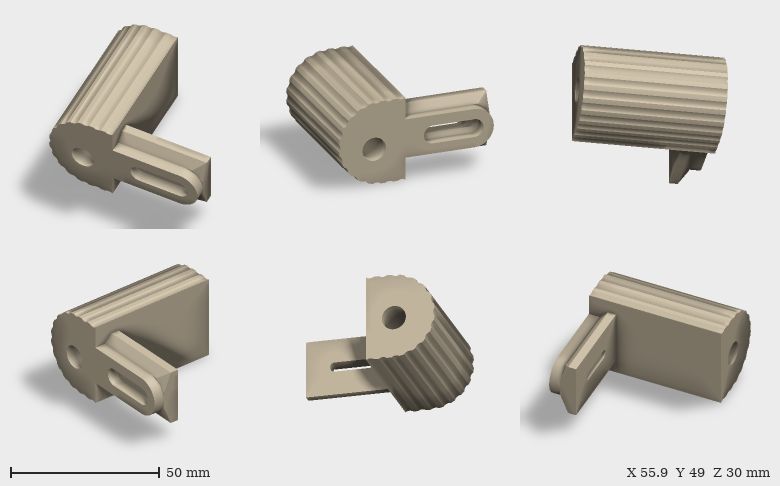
import cadquery as cq
import math

GRIP_LENGTH = 49.0
GRIP_RADIUS = 15.0
GRIP_FLAT_X = 9.0

FLUTE_CHORD = 2.75
FLUTE_DEPTH = 0.45
FLUTE_PITCH = 4.45
FLUTES_PER_SIDE = 7
FLUTE_RADIUS = ((FLUTE_CHORD / 2) ** 2 + FLUTE_DEPTH**2) / (2 * FLUTE_DEPTH)

BORE_DIAMETER = 8.4
BORE_FRONT = (-2.25, -2.2)
BORE_REAR = (-0.7, -0.65)
BORE_OVERRUN = 1.0

ARM_END_X = 41.0
BAR_WIDTH = 14.0
PLATE_WIDTH = 20.0
BAR_THICKNESS = 4.0
FLARE_THICKNESS = 3.0
ARM_THICKNESS = 10.0
BAR_RADIUS = BAR_WIDTH / 2
BAR_END_CENTER_X = ARM_END_X - BAR_RADIUS
FLARE_END_Y = BAR_THICKNESS + FLARE_THICKNESS

SLOT_WIDTH = 6.5
SLOT_TRAVEL = 15.0
SEAT_WIDTH = 3.3
THROUGH_TRAVEL = 12.0
SLOT_START_X = BAR_END_CENTER_X - SLOT_TRAVEL
SEAT_ANGLE = 45.0
SEAT_DEPTH = (SLOT_WIDTH - SEAT_WIDTH) / 2 / math.tan(math.radians(SEAT_ANGLE))


def plane_at(y):
    """Work plane at depth y: local x is X, local y is Z, extrusions run toward +Y."""
    return cq.Workplane(cq.Plane(origin=(0, y, 0), xDir=(1, 0, 0), normal=(0, -1, 0)))


def outline_point(distance):
    """Point (X, Z) on the upper grip outline, measured from its leftmost point."""
    angle = distance / GRIP_RADIUS
    if angle <= math.pi / 2:
        return -GRIP_RADIUS * math.cos(angle), GRIP_RADIUS * math.sin(angle)
    return distance - GRIP_RADIUS * math.pi / 2, GRIP_RADIUS


def outward_normal(point):
    """Unit vector pointing out of the grip at a point of its upper outline."""
    x, z = min(point[0], 0), point[1]
    return x / GRIP_RADIUS, z / GRIP_RADIUS


def make_grip():
    outline = (
        plane_at(0)
        .moveTo(GRIP_FLAT_X, -GRIP_RADIUS)
        .lineTo(0, -GRIP_RADIUS)
        .threePointArc((-GRIP_RADIUS, 0), (0, GRIP_RADIUS))
        .lineTo(GRIP_FLAT_X, GRIP_RADIUS)
        .close()
    )
    return outline.extrude(-GRIP_LENGTH)


def flute_center(distance):
    """Centre (X, Z) of the round cutter whose flute is centred at this outline distance."""
    point = outline_point(distance)
    on_round = point[0] < 0
    sagitta = GRIP_RADIUS - math.sqrt(GRIP_RADIUS**2 - (FLUTE_CHORD / 2) ** 2) if on_round else 0
    offset = FLUTE_RADIUS - FLUTE_DEPTH - sagitta
    normal = outward_normal(point)
    return point[0] + offset * normal[0], point[1] + offset * normal[1]


def cut_flutes(body):
    for index in range(FLUTES_PER_SIDE + 1):
        x, z = flute_center(index * FLUTE_PITCH)
        for side in (-1, 1):
            cutter = plane_at(0).center(x, side * z).circle(FLUTE_RADIUS).extrude(-GRIP_LENGTH)
            body = body.cut(cutter)
    return body


def make_bore():
    start = cq.Vector(BORE_FRONT[0], 0, BORE_FRONT[1])
    end = cq.Vector(BORE_REAR[0], GRIP_LENGTH, BORE_REAR[1])
    axis = (end - start).normalized()
    length = (end - start).Length + 2 * BORE_OVERRUN
    bore = cq.Solid.makeCylinder(BORE_DIAMETER / 2, length, start - axis * BORE_OVERRUN, axis)
    return cq.Workplane(bore)


def tetrahedron(a, b, c, d):
    """Solid with four triangular faces between the given corner points."""
    faces = []
    for corners in ((a, b, c), (a, b, d), (a, c, d), (b, c, d)):
        wire = cq.Wire.makePolygon([cq.Vector(*corner) for corner in corners], close=True)
        faces.append(cq.Face.makeFromWires(wire))
    return cq.Solid.makeSolid(cq.Shell.makeShell(faces))


def make_arm():
    straight = plane_at(0).center(BAR_END_CENTER_X / 2, 0).rect(BAR_END_CENTER_X, BAR_WIDTH)
    round_end = plane_at(0).center(BAR_END_CENTER_X, 0).circle(BAR_RADIUS)
    bar = straight.extrude(-BAR_THICKNESS).union(round_end.extrude(-BAR_THICKNESS))
    narrow = BAR_WIDTH / 2
    wide = PLATE_WIDTH / 2
    plate_profile = [
        (BAR_THICKNESS, -narrow),
        (FLARE_END_Y, -wide),
        (ARM_THICKNESS, -wide),
        (ARM_THICKNESS, wide),
        (FLARE_END_Y, wide),
        (BAR_THICKNESS, narrow),
    ]
    plate = cq.Workplane("YZ").polyline(plate_profile).close().extrude(ARM_END_X)
    corner_cut = BAR_RADIUS * (2 - math.sqrt(2))
    for side in (-1, 1):
        corner = tetrahedron(
            (ARM_END_X - corner_cut, BAR_THICKNESS, side * narrow),
            (ARM_END_X, BAR_THICKNESS, side * (narrow - corner_cut)),
            (ARM_END_X, BAR_THICKNESS, side * narrow),
            (ARM_END_X, FLARE_END_Y, side * wide),
        )
        plate = plate.cut(cq.Workplane(corner))
    return bar.union(plate)


def slot_profile(y, travel, width):
    return plane_at(y).center(SLOT_START_X + travel / 2, 0).slot2D(travel + width, width)


def make_slot():
    mouth = slot_profile(0, SLOT_TRAVEL, SLOT_WIDTH).extrude(-BAR_THICKNESS)
    seat = slot_profile(BAR_THICKNESS, SLOT_TRAVEL, SLOT_WIDTH).extrude(-SEAT_DEPTH, taper=SEAT_ANGLE)
    through = slot_profile(0, THROUGH_TRAVEL, SEAT_WIDTH).extrude(-ARM_THICKNESS)
    return mouth.union(seat).union(through)


grip = cut_flutes(make_grip())
result = grip.union(make_arm()).cut(make_slot()).cut(make_bore())